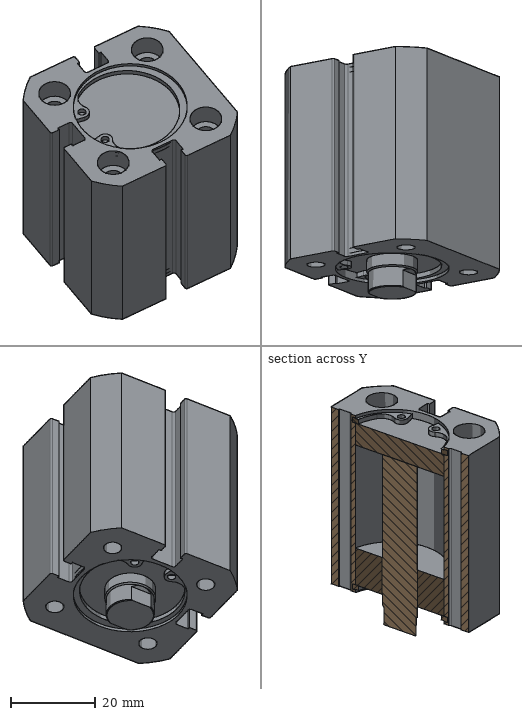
import cadquery as cq
import math


width = 41.0
height = 47.5
corner_radius = 25.5
bore_radius = 13.5

bolt_offset = 13.0
bolt_diameter = 4.3
counterbore_diameter = 7.5
counterbore_depth = 5.2

slot_floor = 14.5
slot_mouth_width = 5.4
slot_lip = 2.3
slot_channel_width = 6.6
slot_channel_fillet = 0.6
slot_mouth_fillet = 0.45
slot_directions = (180, 270, 0)

ring_inset = 0.8
ring_thickness = 1.2
ring_bottoms = (ring_inset, height - ring_inset - ring_thickness)
ring_radius = 14.4
ring_inner_radius = 12.5
ring_inner_shift = -0.9
lug_x = 5.15
lug_y = -10.3
lug_radius = 1.75
lug_hole_diameter = 1.9
lug_neck_radius = 3.3
lug_end_angle = math.radians(191)

cover_inset = ring_inset + ring_thickness
head_cover_thickness = 6.0
rod_cover_thickness = 10.0

rod_radius = 6.05
rod_end_radius = 5.7
rod_projection = 6.0
rod_step = 0.8
rod_end_chamfer = 0.2
flat_offset = 5.0


def cylinder(radius, bottom, top):
    return cq.Workplane("XY").workplane(offset=bottom).circle(radius).extrude(top - bottom)


def point_at(centre, radius, angle):
    return (centre[0] + radius * math.cos(angle), centre[1] + radius * math.sin(angle))


def direction(start, end):
    return math.atan2(end[1] - start[1], end[0] - start[0])


def mirrored(point):
    return (-point[0], point[1])


def make_ring(bottom, with_lug_holes=True):
    """Internal retaining ring with its gap towards -Y."""
    axis = (0.0, 0.0)
    inner_centre = (0.0, ring_inner_shift)
    lug = (lug_x, lug_y)

    lug_distance = math.dist(inner_centre, lug)
    inner_reach = ring_inner_radius - lug_neck_radius
    lug_reach = lug_radius + lug_neck_radius
    cosine = (lug_distance**2 + inner_reach**2 - lug_reach**2) / (2 * lug_distance * inner_reach)
    neck_angle = direction(inner_centre, lug) + math.acos(cosine)
    neck = point_at(inner_centre, inner_reach, neck_angle)
    inner_end = point_at(inner_centre, ring_inner_radius, neck_angle)
    neck_end_angle = direction(neck, lug)
    neck_end = point_at(neck, lug_neck_radius, neck_end_angle)
    neck_middle = point_at(neck, lug_neck_radius, (neck_angle + neck_end_angle) / 2)

    lug_end = point_at(lug, lug_radius, lug_end_angle)
    lug_middle = point_at(lug, lug_radius, (direction(lug, neck) + lug_end_angle) / 2)
    tangent_angle = lug_end_angle + math.pi / 2
    along = lug_end[0] * math.cos(tangent_angle) + lug_end[1] * math.sin(tangent_angle)
    tangent_length = math.sqrt(along**2 + ring_radius**2 - math.dist(axis, lug_end)**2) - along
    rim_end = point_at(lug_end, tangent_length, tangent_angle)

    ring = (
        cq.Workplane("XY").workplane(offset=bottom)
        .moveTo(*rim_end)
        .threePointArc((0, ring_radius), mirrored(rim_end))
        .lineTo(*mirrored(lug_end))
        .threePointArc(mirrored(lug_middle), mirrored(neck_end))
        .threePointArc(mirrored(neck_middle), mirrored(inner_end))
        .threePointArc((0, ring_inner_shift + ring_inner_radius), inner_end)
        .threePointArc(neck_middle, neck_end)
        .threePointArc(lug_middle, lug_end)
        .close()
        .extrude(ring_thickness)
    )
    if with_lug_holes:
        lug_holes = (
            cq.Workplane("XY").workplane(offset=bottom)
            .pushPoints([lug, mirrored(lug)])
            .circle(lug_hole_diameter / 2)
            .extrude(ring_thickness)
        )
        ring = ring.cut(lug_holes)
    return ring


def make_slot():
    """Cutter for the slot in the +X face."""
    face = width / 2
    channel_depth = face - slot_lip - slot_floor
    channel = (
        cq.Workplane("XY")
        .center(slot_floor + channel_depth / 2, 0)
        .rect(channel_depth, slot_channel_width)
        .extrude(height)
        .edges("|Z and <X")
        .fillet(slot_channel_fillet)
    )
    half_mouth = slot_mouth_width / 2
    flare = half_mouth + slot_mouth_fillet
    arc_start = face - slot_mouth_fillet
    bulge = slot_mouth_fillet * (1 - math.sqrt(0.5))
    mouth = (
        cq.Workplane("XY")
        .moveTo(slot_floor + channel_depth / 2, -half_mouth)
        .lineTo(arc_start, -half_mouth)
        .threePointArc((face - bulge, -half_mouth - bulge), (face, -flare))
        .lineTo(face, flare)
        .threePointArc((face - bulge, half_mouth + bulge), (arc_start, half_mouth))
        .lineTo(slot_floor + channel_depth / 2, half_mouth)
        .close()
        .extrude(height)
    )
    return channel.union(mouth)


def make_housing():
    block = cq.Workplane("XY").rect(width, width).extrude(height)
    block = block.intersect(cylinder(corner_radius, 0, height))
    block = block.cut(cylinder(bore_radius, 0, height))
    block = (
        block.faces(">Z").workplane(origin=(0, 0, height))
        .rect(2 * bolt_offset, 2 * bolt_offset, forConstruction=True)
        .vertices()
        .cboreHole(bolt_diameter, counterbore_diameter, counterbore_depth)
    )
    slot = make_slot()
    for angle in slot_directions:
        block = block.cut(slot.rotate((0, 0, 0), (0, 0, 1), angle))
    for bottom in ring_bottoms:
        block = block.cut(make_ring(bottom, with_lug_holes=False))
    return block


def make_head_cover():
    top = height - cover_inset
    return cylinder(bore_radius, top - head_cover_thickness, top)


def make_rod_cover():
    top = cover_inset + rod_cover_thickness
    return cylinder(bore_radius, cover_inset, top).cut(cylinder(rod_radius, cover_inset, top))


def make_rod():
    step_chamfer = rod_radius - rod_end_radius
    end_top = -rod_step - step_chamfer
    rod = (
        cylinder(rod_radius, end_top, height - cover_inset - head_cover_thickness)
        .faces("<Z")
        .chamfer(step_chamfer)
    )
    rod_end = cylinder(rod_end_radius, -rod_projection, end_top).faces("<Z").chamfer(rod_end_chamfer)
    rod = rod.union(rod_end)

    flat_depth = rod_end_radius - flat_offset
    flat = (
        cq.Workplane("YZ")
        .moveTo(flat_offset, -rod_projection)
        .lineTo(rod_end_radius, -rod_projection)
        .lineTo(rod_end_radius, end_top)
        .lineTo(flat_offset, end_top - flat_depth)
        .close()
        .extrude(rod_end_radius, both=True)
    )
    return rod.cut(flat).cut(flat.mirror("XZ"))


housing = make_housing()
head_cover = make_head_cover()
rod_cover = make_rod_cover()
piston_rod = make_rod()
rings = [make_ring(bottom) for bottom in ring_bottoms]

result = cq.Compound.makeCompound(
    [housing.val(), head_cover.val(), rod_cover.val(), piston_rod.val(), *[ring.val() for ring in rings]]
)